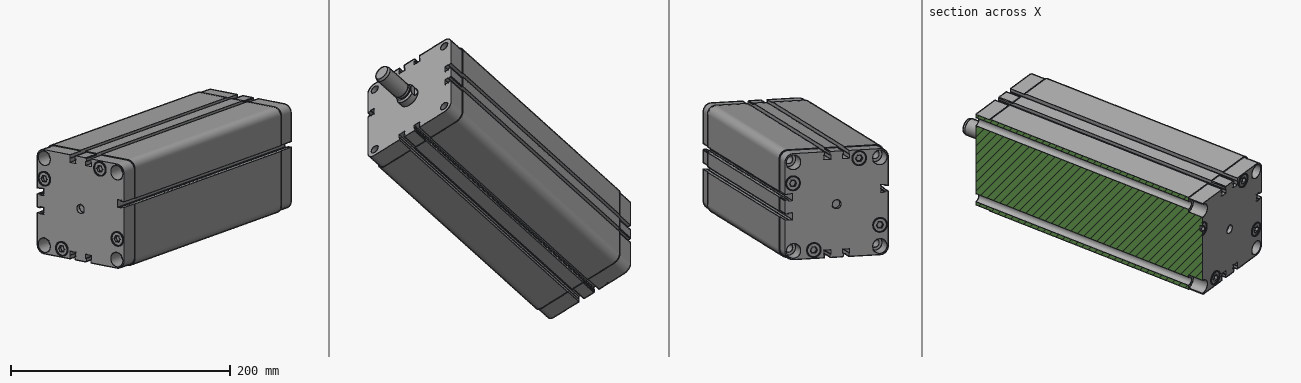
import cadquery as cq


total_length = 296.0
housing_length = 256.3
cap_length = 16.0
tube_width = 100.0
cap_width = 98.5
corner_radius = 8.0
tube_length = housing_length - 2 * cap_length

slot_outer = 11.8
slot_outer_undercut = 12.0
land_half_width = 6.5
land_neck_half_width = 5.5
slot_floor = 42.0
lip_underside = 46.0
cap_land_chamfer = 0.75

single_slot_height = 12.0
single_slot_opening = 5.3
single_slot_inner_width = 7.0

corner_hole_offset = 41.0
corner_hole_diameter = 8.3
corner_bore_diameter = 13.5
corner_bore_depth = cap_length
center_hole_diameter = 8.3
center_hole_depth = 4.0

screw_edge_offset = 41.5
screw_side_offset = 21.5
screw_recess_diameter = 13.5
screw_head_diameter = 12.5
screw_gap_depth = 1.0
screw_socket_corners = 6.5
screw_socket_depth = 3.0

rod_diameter = 20.0
rod_chamfer = 1.8
flat_width = 17.0
flat_base = 0.5
flat_runout = 2.0
neck_diameter = 13.5
neck_length = 2.5
thread_diameter = 16.0
thread_length = 29.0
thread_tip_chamfer = 2.7
thread_tip_inset = 1.0
thread_end_chamfer = 1.0
rod_end = total_length - thread_length - neck_length


def sketch_plane(y):
    """XZ plane at the given Y, facing -Y so that sketch X and Y are part X and Z."""
    return cq.Workplane("XZ", origin=(0, y, 0))


def square_block(width, y, length):
    """Square bar with rounded long edges."""
    return sketch_plane(y).rect(width, width).extrude(-length).edges("|Y").fillet(corner_radius)


def cut_slotted_faces(block, cutter):
    """Cut a top-face cutter and its mirror image from the top, -X and bottom faces."""
    pair = cutter.union(cutter.mirror("YZ"))
    for angle in (0, -90, 180):
        block = block.cut(pair.rotate((0, 0, 0), (0, 1, 0), angle))
    return block


def paired_slot():
    """The +X slot of the top pair, wider below its two lips."""
    outside = tube_width
    return (
        sketch_plane(0)
        .moveTo(slot_outer_undercut, slot_floor)
        .lineTo(slot_outer_undercut, lip_underside)
        .lineTo(slot_outer, lip_underside)
        .lineTo(slot_outer, outside)
        .lineTo(land_half_width, outside)
        .lineTo(land_half_width, lip_underside)
        .lineTo(land_neck_half_width, lip_underside)
        .lineTo(land_neck_half_width, slot_floor)
        .close()
        .extrude(-housing_length)
    )


def land_chamfer(y):
    """Strip that chamfers the +X edge of a cap's top land."""
    face = cap_width / 2
    return (
        sketch_plane(y)
        .moveTo(land_half_width - cap_land_chamfer, face)
        .lineTo(land_half_width, face)
        .lineTo(land_half_width, face - cap_land_chamfer)
        .close()
        .extrude(-cap_length)
    )


def make_cap(y):
    return cut_slotted_faces(square_block(cap_width, y, cap_length), land_chamfer(y))


def single_slot():
    undercut_depth = lip_underside - slot_floor
    undercut = (
        sketch_plane(0)
        .center(slot_floor + undercut_depth / 2, single_slot_height)
        .rect(undercut_depth, single_slot_inner_width)
        .extrude(-housing_length)
    )
    opening = (
        sketch_plane(0)
        .center(lip_underside + tube_width / 2, single_slot_height)
        .rect(tube_width, single_slot_opening)
        .extrude(-housing_length)
    )
    return undercut.union(opening)


def corner_holes():
    spacing = 2 * corner_hole_offset
    corners = sketch_plane(0).rect(spacing, spacing, forConstruction=True).vertices()
    holes = corners.circle(corner_hole_diameter / 2).extrude(-housing_length)
    bores = corners.circle(corner_bore_diameter / 2).extrude(-corner_bore_depth)
    return holes.union(bores)


def screw_recesses():
    """Thin gaps around the screw heads, and their hexagon sockets."""
    edge, side = screw_edge_offset, screw_side_offset
    places = sketch_plane(0).pushPoints([(side, edge), (-edge, side), (-side, -edge), (edge, -side)])
    gaps = places.circle(screw_recess_diameter / 2).circle(screw_head_diameter / 2).extrude(-screw_gap_depth)
    sockets = places.polygon(6, screw_socket_corners).extrude(-screw_socket_depth)
    return gaps.union(sockets)


def center_hole():
    return sketch_plane(0).circle(center_hole_diameter / 2).extrude(-center_hole_depth)


def make_rod():
    rod_radius = rod_diameter / 2
    neck_radius = neck_diameter / 2
    thread_radius = thread_diameter / 2
    thread_start = total_length - thread_length
    rod_base = housing_length - cap_length
    rod = (
        cq.Workplane("XY")
        .moveTo(0, rod_base)
        .lineTo(rod_radius, rod_base)
        .lineTo(rod_radius, rod_end - rod_chamfer)
        .lineTo(rod_radius - rod_chamfer, rod_end)
        .lineTo(neck_radius, rod_end)
        .lineTo(neck_radius, thread_start)
        .lineTo(thread_radius, thread_start + thread_end_chamfer)
        .lineTo(thread_radius, total_length - thread_tip_chamfer)
        .lineTo(thread_radius - thread_tip_inset, total_length)
        .lineTo(0, total_length)
        .close()
        .revolve(360, (0, 0, 0), (0, 1, 0))
    )
    flat_cut = (
        cq.Workplane("XY")
        .moveTo(rod_radius, housing_length + flat_base)
        .lineTo(flat_width / 2, housing_length + flat_base + flat_runout)
        .lineTo(flat_width / 2, rod_end)
        .lineTo(rod_radius, rod_end)
        .close()
        .extrude(rod_radius, both=True)
    )
    return rod.cut(flat_cut).cut(flat_cut.mirror("YZ"))


tube = square_block(tube_width, cap_length, tube_length)
housing = tube.union(make_cap(0)).union(make_cap(housing_length - cap_length))
housing = cut_slotted_faces(housing, paired_slot())
housing = housing.cut(single_slot()).cut(corner_holes()).cut(screw_recesses()).cut(center_hole())
result = housing.union(make_rod())